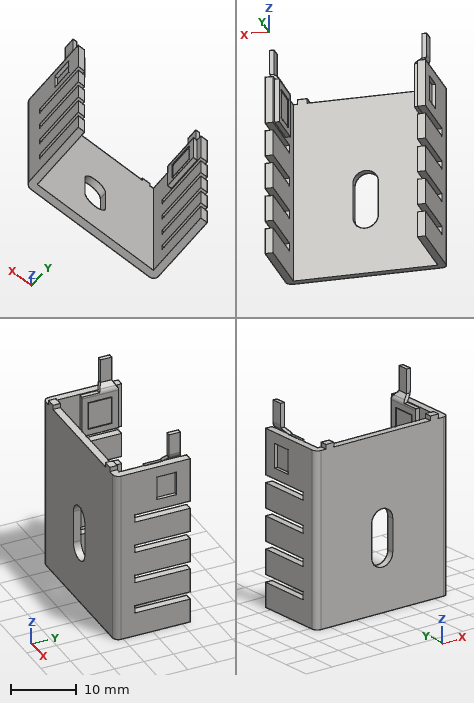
import cadquery as cq

WIDTH = 25.4
DEPTH = 12.7
HOUSING_HEIGHT = 29.25
WALL = 1.27
BEND_RADIUS = 1.0

TAB_WIDTH = 1.55
TAB_HEIGHT = 0.75
TAB_INSET = 1.92

OBLONG_WIDTH = 4.0
OBLONG_LENGTH = 9.53
OBLONG_CENTRE_Z = 12.25

COOLING_SLOT_COUNT = 4
COOLING_SLOT_HEIGHT = 1.27
COOLING_SLOT_DEPTH = 9.35
COOLING_SLOT_PITCH = 5.4
LOWEST_FIN_HEIGHT = 4.1

STAKE_CENTRE_Y = 8.7
STAKE_CENTRE_Z = 25.45
POCKET_WIDTH = 3.35
POCKET_HEIGHT = 4.0
POCKET_DEPTH = 0.58
BOSS_WIDTH = 4.0
BOSS_HEIGHT = 4.65
BOSS_LENGTH = POCKET_DEPTH

CLIP_THICKNESS = 0.75
CLIP_WIDTH = 6.17
CLIP_BOTTOM_Z = 22.0
CLIP_SHOULDER_Z = 29.1
NECK_WIDTH = 3.22
PIN_WIDTH = 1.92
PIN_TOP_Z = 34.28
PIN_OFFSET = 1.03
STEP_BOTTOM_Z = HOUSING_HEIGHT
STEP_TOP_Z = 30.25
NECK_TOP_Z = STEP_TOP_Z
CLIP_BEND_RADIUS = 1.03

CLIP_LEFT = STAKE_CENTRE_Y - CLIP_WIDTH / 2
CLIP_RIGHT = STAKE_CENTRE_Y + CLIP_WIDTH / 2
NECK_CENTRE_Y = CLIP_RIGHT - NECK_WIDTH / 2


def box(x_range, y_range, z_range):
    """A box between the given lower and upper limits."""
    sizes = [high - low for low, high in (x_range, y_range, z_range)]
    corner = (x_range[0], y_range[0], z_range[0])
    return cq.Workplane("XY").box(*sizes, centered=False).translate(corner)


def mirror_in_x(body):
    """The same body reflected to the other side of the housing."""
    return body.mirror("YZ", (WIDTH / 2, 0, 0))


def stake_block(width, height, x_start, x_end):
    """A box centred on the stake in the side wall at X = 0."""
    return box(
        (x_start, x_end),
        (STAKE_CENTRE_Y - width / 2, STAKE_CENTRE_Y + width / 2),
        (STAKE_CENTRE_Z - height / 2, STAKE_CENTRE_Z + height / 2),
    )


def make_housing():
    """The channel with its slots, tabs and stakes."""
    channel = box((0, WIDTH), (0, DEPTH), (0, HOUSING_HEIGHT)).edges("|Z and <Y").fillet(BEND_RADIUS)
    channel = channel.cut(box((WALL, WIDTH - WALL), (WALL, DEPTH), (0, HOUSING_HEIGHT)))

    oblong = (
        cq.Workplane("XZ", origin=(WIDTH / 2, 0, OBLONG_CENTRE_Z))
        .slot2D(OBLONG_LENGTH, OBLONG_WIDTH, 90)
        .extrude(-WALL)
    )
    channel = channel.cut(oblong)

    for index in range(COOLING_SLOT_COUNT):
        slot_z = LOWEST_FIN_HEIGHT + index * COOLING_SLOT_PITCH
        slot = box(
            (0, WIDTH),
            (DEPTH - COOLING_SLOT_DEPTH, DEPTH),
            (slot_z, slot_z + COOLING_SLOT_HEIGHT),
        )
        channel = channel.cut(slot)

    tab = box(
        (TAB_INSET, TAB_INSET + TAB_WIDTH),
        (0, WALL),
        (HOUSING_HEIGHT, HOUSING_HEIGHT + TAB_HEIGHT),
    )
    pocket = stake_block(POCKET_WIDTH, POCKET_HEIGHT, 0, POCKET_DEPTH)
    boss = stake_block(BOSS_WIDTH, BOSS_HEIGHT, WALL, WALL + BOSS_LENGTH)
    channel = channel.union(tab).union(mirror_in_x(tab))
    channel = channel.union(boss).union(mirror_in_x(boss))
    return channel.cut(pocket).cut(mirror_in_x(pocket))


def bent_strip():
    """The clip's sheet, stepped outwards from plate to pin, at its full width."""
    pin_x = WALL - PIN_OFFSET
    plate_low_corner = (WALL + CLIP_THICKNESS, STEP_BOTTOM_Z)
    pin_high_corner = (pin_x, STEP_TOP_Z)
    strip = (
        cq.Workplane("XZ", origin=(0, CLIP_RIGHT, 0))
        .polyline(
            [
                (WALL, CLIP_BOTTOM_Z),
                (WALL, STEP_BOTTOM_Z),
                pin_high_corner,
                (pin_x, PIN_TOP_Z),
                (pin_x + CLIP_THICKNESS, PIN_TOP_Z),
                (pin_x + CLIP_THICKNESS, STEP_TOP_Z),
                plate_low_corner,
                (WALL + CLIP_THICKNESS, CLIP_BOTTOM_Z),
            ]
        )
        .close()
        .extrude(CLIP_WIDTH)
    )
    for corner_x, corner_z in (plate_low_corner, pin_high_corner):
        nearest = cq.selectors.NearestToPointSelector((corner_x, STAKE_CENTRE_Y, corner_z))
        strip = strip.edges("|Y").edges(nearest).fillet(CLIP_BEND_RADIUS)
    return strip


def make_clip():
    """The clip on the side wall at X = 0."""
    pin_low = NECK_CENTRE_Y - PIN_WIDTH / 2
    pin_high = NECK_CENTRE_Y + PIN_WIDTH / 2
    side_outline = (
        cq.Workplane("YZ")
        .polyline(
            [
                (CLIP_LEFT, CLIP_BOTTOM_Z),
                (CLIP_RIGHT, CLIP_BOTTOM_Z),
                (CLIP_RIGHT, CLIP_SHOULDER_Z),
                (pin_high, NECK_TOP_Z),
                (pin_high, PIN_TOP_Z),
                (pin_low, PIN_TOP_Z),
                (pin_low, NECK_TOP_Z),
                (CLIP_RIGHT - NECK_WIDTH, CLIP_SHOULDER_Z),
                (CLIP_LEFT, CLIP_SHOULDER_Z),
            ]
        )
        .close()
        .extrude(WALL + CLIP_THICKNESS)
    )
    stake_window = stake_block(BOSS_WIDTH, BOSS_HEIGHT, WALL, WALL + CLIP_THICKNESS)
    return bent_strip().intersect(side_outline).cut(stake_window)


housing = make_housing()
clips = []
for on_far_wall in (False, True):
    clip = make_clip()
    clips.append(mirror_in_x(clip) if on_far_wall else clip)

result = cq.Compound.makeCompound([housing.val(), *[body.val() for body in clips]])